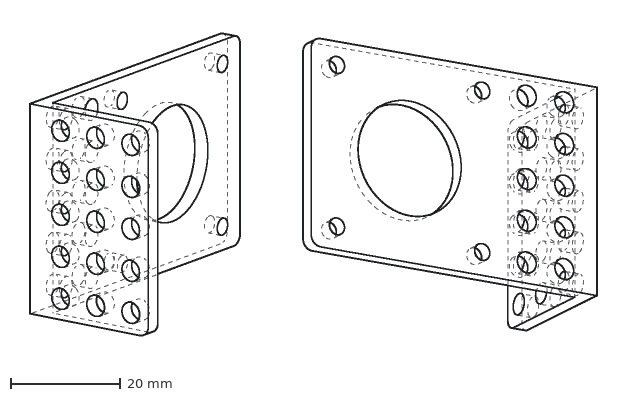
import cadquery as cq

foot_length = 27.0
wall_length = 61.0
height = 40.0
thickness = 3.0
corner_radius = 2.0

grid_diameter = 4.0
grid_pitch = 8.0
grid_offset = 7.0
grid_rows = 5
foot_columns = 3
wall_columns = 2

motor_y = 40.0
bore_diameter = 22.0
screw_spacing = 31.0
screw_diameter = 3.2

mid_z = height / 2


def grid_points(columns):
    """(distance from the bend edge, Z) of each grid hole, centred on the height."""
    first_z = mid_z - grid_pitch * (grid_rows - 1) / 2
    return [
        (grid_offset + column * grid_pitch, first_z + row * grid_pitch)
        for column in range(columns)
        for row in range(grid_rows)
    ]


def make_wall():
    """Long leg in the YZ plane, with its two free corners rounded."""
    wall = cq.Workplane("XY").box(thickness, wall_length, height, centered=False)
    return wall.edges("|X and >Y").fillet(corner_radius)


def make_foot():
    """Short leg in the XZ plane, with its two free corners rounded."""
    foot = cq.Workplane("XY").box(foot_length, thickness, height, centered=False)
    return foot.edges("|Y and >X").fillet(corner_radius)


def foot_holes():
    """Cutters along +Y; the XZ workplane normal is -Y."""
    points = grid_points(foot_columns)
    return cq.Workplane("XZ").pushPoints(points).circle(grid_diameter / 2).extrude(-thickness)


def wall_holes(points, diameter):
    """Cutters along +X at (Y, Z) points."""
    return cq.Workplane("YZ").pushPoints(points).circle(diameter / 2).extrude(thickness)


def screw_points():
    """Square pattern of motor screws around the bore."""
    half = screw_spacing / 2
    return [(motor_y + dy, mid_z + dz) for dy in (-half, half) for dz in (-half, half)]


result = make_wall().union(make_foot())
result = result.cut(foot_holes())
result = result.cut(wall_holes(grid_points(wall_columns), grid_diameter))
result = result.cut(wall_holes(screw_points(), screw_diameter))
result = result.cut(wall_holes([(motor_y, mid_z)], bore_diameter))